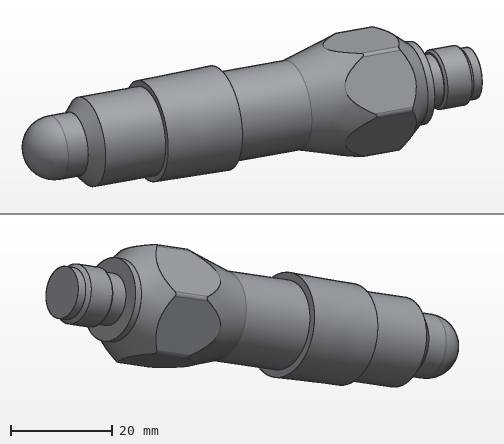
import cadquery as cq
import math

length = 97.8

plug_radius = 10.5 / 2
ring_radius = 12.0 / 2
ring_start = 1.9
ring_end = 8.4
ring_back_chamfer = ring_radius - plug_radius
ring_front_chamfer = 0.5

collar_radius = 16.7 / 2
collar_start = 11.9
collar_end = 13.4
hex_across_flats = 22.0
hex_edge_radius = 1.0
hex_corner_radius = hex_across_flats / 2 / math.cos(math.pi / 6)
grip_radius = hex_corner_radius - hex_edge_radius * (1 / math.cos(math.pi / 6) - 1)
grip_back = 18.8
grip_front = 26.6
taper_end = 39.2

body_radius = 18.0 / 2
sleeve_start = 55.2
sleeve_end = 71.3
sleeve_back_radius = 21.0 / 2
sleeve_front_radius = 20.3 / 2
tip_radius = 12.8 / 2
tip_start = 87.0
nose_start = tip_start - (body_radius - tip_radius)
dome_start = length - tip_radius


def revolve_stations(stations):
    """Revolve (distance from the plug face, radius) stations about the Y axis."""
    first_distance = stations[0][0]
    last_distance = stations[-1][0]
    points = [(0, -first_distance)]
    points += [(radius, -distance) for distance, radius in stations]
    points.append((0, -last_distance))
    return cq.Workplane("XY").polyline(points).close().revolve(360, (0, 0), (0, 1))


def make_plug():
    return revolve_stations([
        (0, plug_radius),
        (ring_start, plug_radius),
        (ring_start + ring_back_chamfer, ring_radius),
        (ring_end - ring_front_chamfer, ring_radius),
        (ring_end, ring_radius - ring_front_chamfer),
        (ring_end, plug_radius),
        (collar_start, plug_radius),
    ])


def make_grip():
    turned_blank = revolve_stations([
        (collar_start, collar_radius),
        (collar_end, collar_radius),
        (grip_back, grip_radius),
        (grip_front, grip_radius),
        (taper_end, body_radius),
    ])
    hex_bar = (
        cq.Workplane("XZ")
        .polygon(6, 2 * hex_corner_radius)
        .extrude(taper_end)
        .edges("|Y")
        .fillet(hex_edge_radius)
    )
    return turned_blank.intersect(hex_bar)


def make_body():
    return revolve_stations([
        (taper_end, body_radius),
        (sleeve_start, body_radius),
        (sleeve_start, sleeve_back_radius),
        (sleeve_end, sleeve_front_radius),
        (sleeve_end, body_radius),
        (nose_start, body_radius),
        (tip_start, tip_radius),
        (dome_start, tip_radius),
    ])


def make_dome():
    arc_middle = tip_radius * math.sqrt(0.5)
    return (
        cq.Workplane("XY")
        .moveTo(0, -dome_start)
        .lineTo(tip_radius, -dome_start)
        .threePointArc((arc_middle, -dome_start - arc_middle), (0, -length))
        .close()
        .revolve(360, (0, 0), (0, 1))
    )


result = make_plug().union(make_grip()).union(make_body()).union(make_dome())